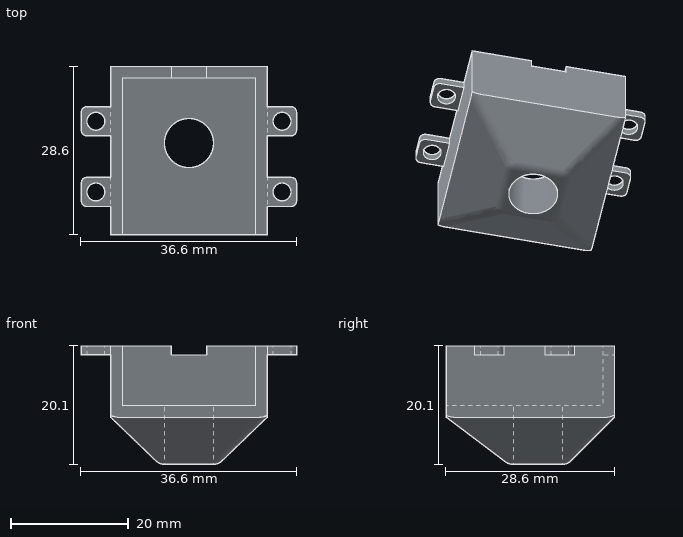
import cadquery as cq

WIDTH = 26.6
DEPTH = 28.6
WALL = 2.0
FUNNEL_HEIGHT = 8.0
TRAY_HEIGHT = 12.1
TOP_Z = FUNNEL_HEIGHT + TRAY_HEIGHT
FLOOR_Z = FUNNEL_HEIGHT + WALL

OUTLET_Y = -13.0
OUTLET_DIAMETER = 8.3
FUNNEL_TIP_SIDE = 10.0
FUNNEL_EDGE_RADIUS = 2.0

TAB_SIZE = 5.0
TAB_THICKNESS = 1.5
TAB_HOLE_DIAMETER = 3.0
TAB_CORNER_RADIUS = 1.0
FIRST_TAB_Y = -9.3
TAB_SPACING = 12.0
TAB_ROWS = [FIRST_TAB_Y, FIRST_TAB_Y - TAB_SPACING]

NOTCH_WIDTH = 6.0
NOTCH_DEPTH = 1.5


def block(width, y_back, y_front, z_low, z_high):
    """Box centred on X, between the given Y and Z limits."""
    return (
        cq.Workplane("XY")
        .box(width, y_back - y_front, z_high - z_low, centered=(True, False, False))
        .translate((0, y_front, z_low))
    )


def make_body():
    """Solid block on an off-centre tapered funnel with rounded slope and tip edges."""
    funnel = (
        cq.Workplane("XY")
        .center(0, OUTLET_Y)
        .rect(FUNNEL_TIP_SIDE, FUNNEL_TIP_SIDE)
        .workplane(offset=FUNNEL_HEIGHT)
        .center(0, -DEPTH / 2 - OUTLET_Y)
        .rect(WIDTH, DEPTH)
        .loft(ruled=True)
    )
    body = block(WIDTH, 0, -DEPTH, FUNNEL_HEIGHT, TOP_Z).union(funnel)
    funnel_edges = cq.selectors.BoxSelector(
        (-WIDTH, -2 * DEPTH, -FUNNEL_HEIGHT / 2),
        (WIDTH, DEPTH, FUNNEL_HEIGHT * 3 / 4),
    )
    return body.edges(funnel_edges).fillet(FUNNEL_EDGE_RADIUS)


def make_tab(side, y_centre):
    """Drilled mounting tab on one side wall (side is -1 or +1)."""
    x_centre = side * (WIDTH + TAB_SIZE) / 2
    outer_edges = ">X and |Z" if side > 0 else "<X and |Z"
    return (
        cq.Workplane("XY")
        .box(TAB_SIZE, TAB_SIZE, TAB_THICKNESS)
        .edges(outer_edges)
        .fillet(TAB_CORNER_RADIUS)
        .faces(">Z")
        .workplane()
        .hole(TAB_HOLE_DIAMETER)
        .translate((x_centre, y_centre, TOP_Z - TAB_THICKNESS / 2))
    )


cavity = block(WIDTH - 2 * WALL, -WALL, -DEPTH, FLOOR_Z, TOP_Z)
notch = block(NOTCH_WIDTH, 0, -WALL, TOP_Z - NOTCH_DEPTH, TOP_Z)
outlet = (
    cq.Workplane("XY")
    .center(0, OUTLET_Y)
    .circle(OUTLET_DIAMETER / 2)
    .extrude(TOP_Z)
)

result = make_body().cut(cavity).cut(notch).cut(outlet)
for tab_side in (-1, 1):
    for tab_y in TAB_ROWS:
        result = result.union(make_tab(tab_side, tab_y))